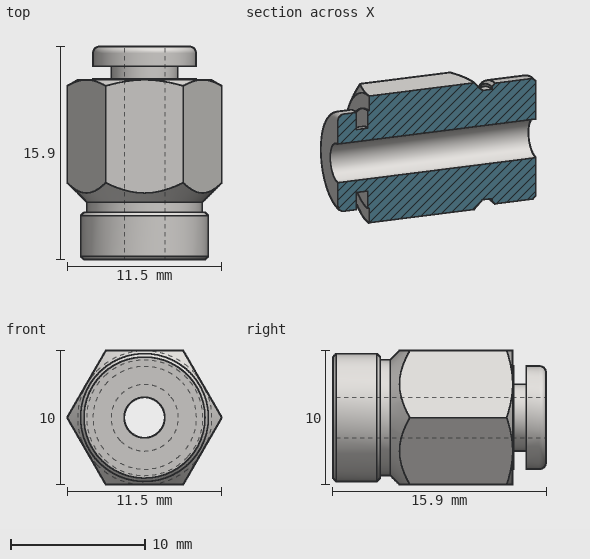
import cadquery as cq
import math

length = 15.9
bore_diameter = 3.0

thread_diameter = 9.54
thread_length = 3.55
thread_chamfer = 0.25

groove_diameter = 8.65
groove_length = 0.75

across_flats = 10.0
across_corners = across_flats / math.cos(math.radians(30))
hex_start = thread_length + groove_length
hex_end = 13.4
back_chamfer_angle = 30.0

seat_diameter = 7.7
seat_height = 0.1
stem_diameter = 5.0
cap_length = 1.5
cap_round = 0.5
cap_start = length - cap_length


def cylinder(diameter, start, end):
    """Solid cylinder along +Y between two Y positions."""
    plane = cq.Workplane("XZ", origin=(0, start, 0))
    return plane.circle(diameter / 2).extrude(start - end)


def make_thread():
    return cylinder(thread_diameter, 0, thread_length).edges("%CIRCLE").chamfer(thread_chamfer)


def make_hex_body():
    """Hexagon trimmed by a 45 degree cone in front and a shallow cone behind."""
    prism = (
        cq.Workplane("XZ", origin=(0, hex_start, 0))
        .polygon(6, across_corners)
        .extrude(hex_start - hex_end)
    )
    corner_radius = across_corners / 2
    groove_radius = groove_diameter / 2
    flat_radius = across_flats / 2
    front_depth = corner_radius - groove_radius
    back_depth = (corner_radius - flat_radius) * math.tan(math.radians(back_chamfer_angle))
    envelope = (
        cq.Workplane("XY")
        .moveTo(0, hex_start)
        .lineTo(groove_radius, hex_start)
        .lineTo(corner_radius, hex_start + front_depth)
        .lineTo(corner_radius, hex_end - back_depth)
        .lineTo(flat_radius, hex_end)
        .lineTo(0, hex_end)
        .close()
        .revolve(360, (0, 0, 0), (0, 1, 0))
    )
    return prism.intersect(envelope)


def make_collar():
    seat = cylinder(seat_diameter, hex_end, hex_end + seat_height)
    stem = cylinder(stem_diameter, hex_end, cap_start)
    cap = cylinder(seat_diameter, cap_start, length).edges(">Y").fillet(cap_round)
    return seat.union(stem).union(cap)


groove = cylinder(groove_diameter, thread_length, hex_start)
bore = cylinder(bore_diameter, 0, length)

result = make_thread().union(groove).union(make_hex_body()).union(make_collar()).cut(bore)